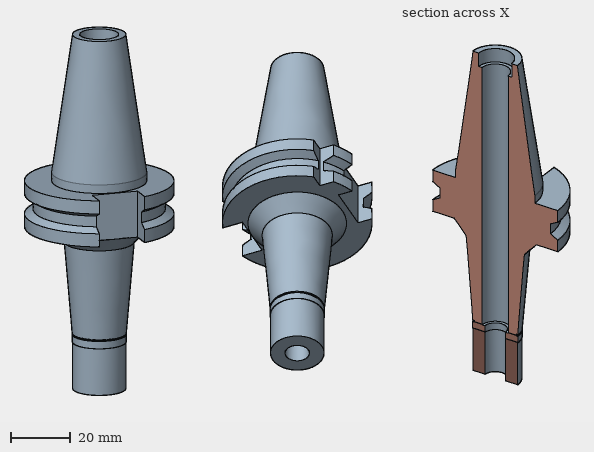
import cadquery as cq

TOTAL_HEIGHT = 122.8
NUT_TOP = 16.2
RING_TOP = 18.8
NECK_HEIGHT = 0.5
NOSE_TOP = 51.0
FLANGE_BOTTOM = 56.1
FLANGE_TOP = 72.1
GAUGE_HEIGHT = 3.0

NUT_RADIUS = 9.0
RING_RADIUS = 9.1
NECK_RADIUS = 8.4
NOSE_TOP_RADIUS = 23.5 / 2
COLLAR_RADIUS = 32.9 / 2
NOSE_BOTTOM_RADIUS = RING_RADIUS
FLANGE_RADIUS = 50.0 / 2
GAUGE_RADIUS = 31.8 / 2
SHANK_TAPER = 7 / 24

GROOVE_ROOT_RADIUS = 22.1
GROOVE_ROOT_WIDTH = 3.7
GROOVE_SIDE_WIDTH = 1.6

SLOT_WIDTH = 16.0
LEFT_SLOT_FLOOR = 18.7
RIGHT_SLOT_FLOOR = COLLAR_RADIUS
NOTCH_OFFSET = 15.0

MOUTH_RADIUS = 6.5
MOUTH_DEPTH = 5.2
HOLDER_BORE_RADIUS = 5.2
FRONT_BORE_RADIUS = 4.0

NECK_TOP = RING_TOP + NECK_HEIGHT
FLANGE_THICKNESS = FLANGE_TOP - FLANGE_BOTTOM
FLANGE_MIDDLE = (FLANGE_TOP + FLANGE_BOTTOM) / 2
GAUGE_TOP = FLANGE_TOP + GAUGE_HEIGHT
SHANK_END_RADIUS = GAUGE_RADIUS - (TOTAL_HEIGHT - GAUGE_TOP) * SHANK_TAPER / 2


def tube(outer_radius, bore_radius, bottom, top):
    """Plain tube standing on the Z axis."""
    return (
        cq.Workplane("XY", origin=(0, 0, bottom))
        .circle(outer_radius)
        .circle(bore_radius)
        .extrude(top - bottom)
    )


def turned_blank():
    """Neck, tapered nose, grooved flange and tapered shank with stepped bore."""
    root_half = GROOVE_ROOT_WIDTH / 2
    rim_half = root_half + GROOVE_SIDE_WIDTH
    mouth_floor = TOTAL_HEIGHT - MOUTH_DEPTH
    half_section = [
        (HOLDER_BORE_RADIUS, RING_TOP),
        (NECK_RADIUS, RING_TOP),
        (NECK_RADIUS, NECK_TOP),
        (NOSE_BOTTOM_RADIUS, NECK_TOP),
        (NOSE_TOP_RADIUS, NOSE_TOP),
        (COLLAR_RADIUS, FLANGE_BOTTOM),
        (FLANGE_RADIUS, FLANGE_BOTTOM),
        (FLANGE_RADIUS, FLANGE_MIDDLE - rim_half),
        (GROOVE_ROOT_RADIUS, FLANGE_MIDDLE - root_half),
        (GROOVE_ROOT_RADIUS, FLANGE_MIDDLE + root_half),
        (FLANGE_RADIUS, FLANGE_MIDDLE + rim_half),
        (FLANGE_RADIUS, FLANGE_TOP),
        (GAUGE_RADIUS, FLANGE_TOP),
        (GAUGE_RADIUS, GAUGE_TOP),
        (SHANK_END_RADIUS, TOTAL_HEIGHT),
        (MOUTH_RADIUS, TOTAL_HEIGHT),
        (MOUTH_RADIUS, mouth_floor),
        (HOLDER_BORE_RADIUS, mouth_floor),
    ]
    return cq.Workplane("XZ").polyline(half_section).close().revolve(360, (0, 0), (0, 1))


def flange_cutter(x_near, y_near, width_x, width_y):
    """Block as tall as the flange, growing from its corner nearest -X and -Y."""
    return cq.Workplane("XY").box(width_x, width_y, FLANGE_THICKNESS, centered=False).translate(
        (x_near, y_near, FLANGE_BOTTOM)
    )


def make_holder():
    """Holder with two drive slots of unequal depth and one corner notch."""
    reach = FLANGE_RADIUS
    left_slot = flange_cutter(-LEFT_SLOT_FLOOR - reach, -SLOT_WIDTH / 2, reach, SLOT_WIDTH)
    right_slot = flange_cutter(RIGHT_SLOT_FLOOR, -SLOT_WIDTH / 2, reach, SLOT_WIDTH)
    notch = flange_cutter(-NOTCH_OFFSET - reach, NOTCH_OFFSET, reach, reach)
    return turned_blank().cut(left_slot).cut(right_slot).cut(notch)


def make_ring():
    """Thin ring between the holder and the nut."""
    return tube(RING_RADIUS, FRONT_BORE_RADIUS, NUT_TOP, RING_TOP)


def make_nut():
    """Plain cylindrical nut at the lower end."""
    return tube(NUT_RADIUS, FRONT_BORE_RADIUS, 0, NUT_TOP)


holder = make_holder()
ring = make_ring()
nut = make_nut()

result = cq.Compound.makeCompound([holder.val(), ring.val(), nut.val()])